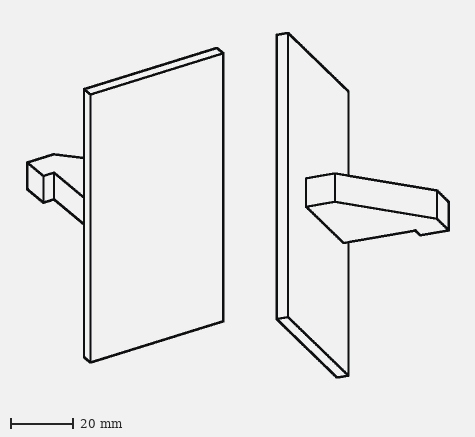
import cadquery as cq

plate_thickness = 4.0
plate_width = 50.0
plate_height = 100.0

arm_reach = 35.0
arm_width = 35.0
arm_thickness = 10.0
tip_length = 10.0
tip_face_width = 10.0
lip_depth = 4.0
brace_rise = arm_width - tip_face_width

plate = cq.Workplane("XY").box(
    plate_thickness, plate_width, plate_height, centered=(False, False, True)
).translate((arm_reach, 0, 0))

arm_outline = [
    (0, 0),
    (tip_length, 0),
    (tip_length, lip_depth),
    (arm_reach, lip_depth),
    (arm_reach, arm_width),
    (brace_rise, arm_width),
    (0, tip_face_width),
]
arm = cq.Workplane("XY").polyline(arm_outline).close().extrude(arm_thickness / 2, both=True)

result = plate.union(arm)